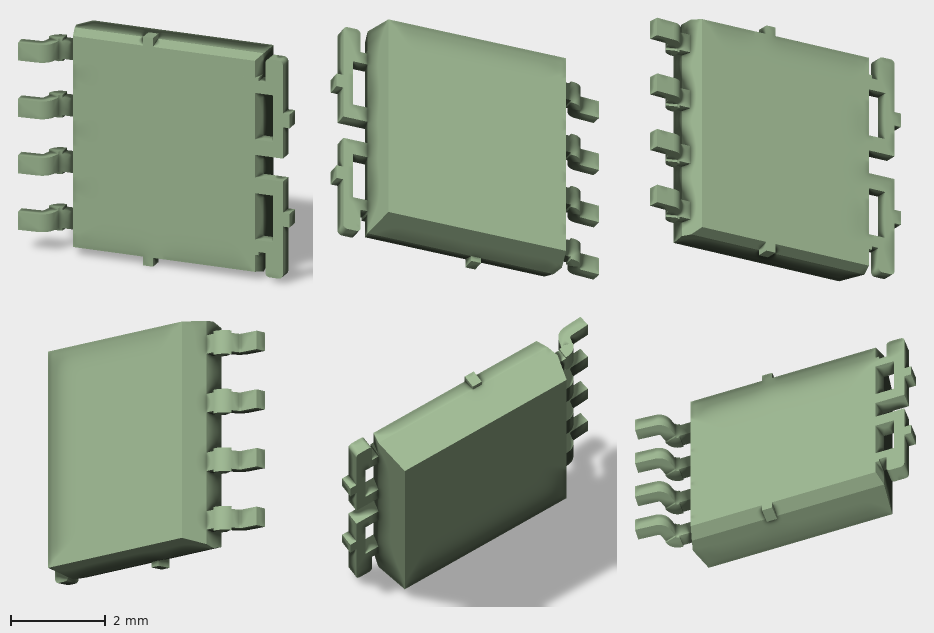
import cadquery as cq
import math


OVERALL_LENGTH = 6.15

HOUSING_LENGTH = 4.37
HOUSING_HALF_WIDTH = 2.45
HOUSING_HEIGHT = 1.145
LEAD_FLANK_INSET = 0.155
UPPER_INSET = 0.11
LOWER_INSET = 0.08

PAD_THICKNESS = 0.31
PAD_START_X = 1.52
PAD_END_X = 4.93
PAD_INNER_Z = 0.26
PAD_OUTER_Z = 1.985
ARM_START_X = 4.53
ARM_CORNER_RADIUS = 0.1
NOTCH_FLOOR_Z = 1.91
TIP_END_X = 5.085
TIP_WIDTH = 0.31
TIP_CENTER_Z = 1.115
WINDOW_START_X = 3.905
WINDOW_END_X = 4.705
WINDOW_WIDTH = 1.045
WINDOW_CENTER_Z = 1.125
TIE_BAR_CENTER_X = 1.865
TIE_BAR_ROOT_WIDTH = 0.515
TIE_BAR_WIDTH = 0.23
TIE_BAR_SHOULDER_Z = 2.13
TIE_BAR_NECK_Z = 2.34
TIE_BAR_END_Z = 2.565

LEAD_COUNT = 4
LEAD_PITCH = 1.265
LEAD_WIDTH = 0.4
LEAD_THICKNESS = 0.25
LEAD_TOP_Y = 0.57
INNER_BEND_RADIUS = 0.05
OUTER_BEND_RADIUS = INNER_BEND_RADIUS + LEAD_THICKNESS
UPPER_BEND_X = -0.24
LEG_LENGTH = 0.17
LEG_TILT = 16
FOOT_TILT = 4
SHOULDER_WIDTH = 0.51
SHOULDER_END_X = -0.21


def offset(start, distance, angle):
    """Point at a distance from start, in the direction of an angle in degrees."""
    turn = math.radians(angle)
    return (start[0] + distance * math.cos(turn), start[1] + distance * math.sin(turn))


def make_envelope():
    """Housing without pad recesses: its length profile crossed with its width profile."""
    length_profile = (
        cq.Workplane("XY")
        .moveTo(LEAD_FLANK_INSET, 0)
        .lineTo(HOUSING_LENGTH - LOWER_INSET, 0)
        .lineTo(HOUSING_LENGTH, PAD_THICKNESS)
        .lineTo(HOUSING_LENGTH - UPPER_INSET, HOUSING_HEIGHT)
        .lineTo(LEAD_FLANK_INSET, HOUSING_HEIGHT)
        .lineTo(0, LEAD_TOP_Y)
        .close()
        .extrude(HOUSING_HALF_WIDTH, both=True)
    )
    width_profile = (
        cq.Workplane("YZ")
        .moveTo(0, 0)
        .lineTo(0, HOUSING_HALF_WIDTH - LOWER_INSET)
        .lineTo(PAD_THICKNESS, HOUSING_HALF_WIDTH)
        .lineTo(HOUSING_HEIGHT, HOUSING_HALF_WIDTH - UPPER_INSET)
        .lineTo(HOUSING_HEIGHT, 0)
        .mirrorX()
        .extrude(HOUSING_LENGTH)
    )
    return length_profile.intersect(width_profile)


def extrude_pad_outline(outline):
    """Raise an outline in the XZ plane from the bottom face to the pad thickness (towards +Y)."""
    return outline.extrude(-PAD_THICKNESS)


def make_pad():
    """Pad on the +Z side: plate with a tie bar, an end arm beyond a notch, a tip and a window."""
    plate = extrude_pad_outline(
        cq.Workplane("XZ")
        .moveTo(PAD_START_X, PAD_INNER_Z)
        .lineTo(PAD_END_X, PAD_INNER_Z)
        .lineTo(PAD_END_X, HOUSING_HALF_WIDTH)
        .lineTo(ARM_START_X, HOUSING_HALF_WIDTH)
        .lineTo(ARM_START_X, NOTCH_FLOOR_Z)
        .lineTo(HOUSING_LENGTH, NOTCH_FLOOR_Z)
        .lineTo(HOUSING_LENGTH, PAD_OUTER_Z)
        .lineTo(PAD_START_X, PAD_OUTER_Z)
        .close()
    )
    plate = plate.faces(">Z").edges("|Y").fillet(ARM_CORNER_RADIUS)

    half_root = TIE_BAR_ROOT_WIDTH / 2
    half_bar = TIE_BAR_WIDTH / 2
    tie_bar = extrude_pad_outline(
        cq.Workplane("XZ", origin=(TIE_BAR_CENTER_X, 0, 0))
        .moveTo(0, PAD_INNER_Z)
        .lineTo(half_root, PAD_INNER_Z)
        .lineTo(half_root, TIE_BAR_SHOULDER_Z)
        .lineTo(half_bar, TIE_BAR_NECK_Z)
        .lineTo(half_bar, TIE_BAR_END_Z)
        .lineTo(0, TIE_BAR_END_Z)
        .mirrorY()
    )
    tip_length = TIP_END_X - WINDOW_END_X
    tip = extrude_pad_outline(
        cq.Workplane("XZ", origin=(WINDOW_END_X + tip_length / 2, 0, TIP_CENTER_Z))
        .rect(tip_length, TIP_WIDTH)
    )
    window_length = WINDOW_END_X - WINDOW_START_X
    window = extrude_pad_outline(
        cq.Workplane("XZ", origin=(WINDOW_START_X + window_length / 2, 0, WINDOW_CENTER_Z))
        .rect(window_length, WINDOW_WIDTH)
    )
    return plate.union(tie_bar).union(tip).cut(window)


def make_lead(center_z):
    """Lead bent down from the -X flank to a tilted foot, with a wider shoulder at the upper bend."""
    lead_bottom_y = LEAD_TOP_Y - LEAD_THICKNESS
    flank_bottom_x = LEAD_FLANK_INSET * LEAD_THICKNESS / LEAD_TOP_Y

    upper_center = (UPPER_BEND_X, LEAD_TOP_Y - OUTER_BEND_RADIUS)
    upper_start = 90
    upper_end = 180 - LEG_TILT
    upper_middle = (upper_start + upper_end) / 2
    leg_top = offset(upper_center, OUTER_BEND_RADIUS + INNER_BEND_RADIUS, upper_end)
    lower_center = offset(leg_top, LEG_LENGTH, upper_end + 90)
    lower_start = 360 - LEG_TILT
    lower_end = 270 + FOOT_TILT
    lower_middle = (lower_start + lower_end) / 2
    foot_direction = 180 + FOOT_TILT

    foot_bottom = offset(lower_center, OUTER_BEND_RADIUS, lower_end)
    foot_top = offset(lower_center, INNER_BEND_RADIUS, lower_end)

    foot_end_x = TIP_END_X - OVERALL_LENGTH
    foot_length = (foot_top[0] - foot_end_x) / math.cos(math.radians(FOOT_TILT))

    strip = (
        cq.Workplane("XY", origin=(0, 0, center_z))
        .moveTo(0, LEAD_TOP_Y)
        .lineTo(UPPER_BEND_X, LEAD_TOP_Y)
        .threePointArc(
            offset(upper_center, OUTER_BEND_RADIUS, upper_middle),
            offset(upper_center, OUTER_BEND_RADIUS, upper_end),
        )
        .lineTo(*offset(lower_center, INNER_BEND_RADIUS, lower_start))
        .threePointArc(offset(lower_center, INNER_BEND_RADIUS, lower_middle), foot_top)
        .lineTo(*offset(foot_top, foot_length, foot_direction))
        .lineTo(*offset(foot_bottom, foot_length, foot_direction))
        .lineTo(*foot_bottom)
        .threePointArc(
            offset(lower_center, OUTER_BEND_RADIUS, lower_middle),
            offset(lower_center, OUTER_BEND_RADIUS, lower_start),
        )
        .lineTo(*offset(upper_center, INNER_BEND_RADIUS, upper_end))
        .threePointArc(
            offset(upper_center, INNER_BEND_RADIUS, upper_middle),
            (UPPER_BEND_X, lead_bottom_y),
        )
        .lineTo(flank_bottom_x, lead_bottom_y)
        .close()
        .extrude(LEAD_WIDTH / 2, both=True)
    )
    shoulder = (
        cq.Workplane("XY", origin=(0, 0, center_z))
        .moveTo(SHOULDER_END_X, LEAD_TOP_Y)
        .lineTo(UPPER_BEND_X, LEAD_TOP_Y)
        .threePointArc(
            offset(upper_center, OUTER_BEND_RADIUS, upper_middle),
            offset(upper_center, OUTER_BEND_RADIUS, upper_end),
        )
        .lineTo(*offset(upper_center, INNER_BEND_RADIUS, upper_end))
        .threePointArc(
            offset(upper_center, INNER_BEND_RADIUS, upper_middle),
            (UPPER_BEND_X, lead_bottom_y),
        )
        .lineTo(SHOULDER_END_X, lead_bottom_y)
        .close()
        .extrude(SHOULDER_WIDTH / 2, both=True)
    )
    return strip.union(shoulder)


upper_pad = make_pad()
pads = [upper_pad, upper_pad.mirror("XY")]

housing = make_envelope()
for pad in pads:
    housing = housing.cut(pad)

leads = []
for index in range(LEAD_COUNT):
    lead_z = (index - (LEAD_COUNT - 1) / 2) * LEAD_PITCH
    leads.append(make_lead(lead_z))

bodies = [housing, *pads, *leads]
result = cq.Compound.makeCompound([body.solids().val() for body in bodies])